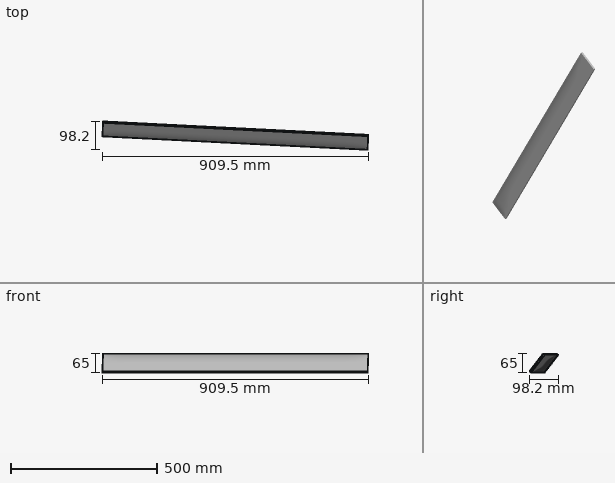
import cadquery as cq
import math

overall_length = 909.5
overall_height = 65.0
thickness = 6.9
lean_angle = 37.6
turn_angle = 2.9

lean = math.radians(lean_angle)
turn = math.radians(turn_angle)

width = (overall_height - thickness * math.sin(lean)) / math.cos(lean)

depth = width * math.sin(lean) + thickness * math.cos(lean)
length = (overall_length - depth * math.sin(turn)) / math.cos(turn)

result = (
    cq.Workplane("XY")
    .box(length, thickness, width)
    .rotate((0, 0, 0), (1, 0, 0), -lean_angle)
    .rotate((0, 0, 0), (0, 0, 1), -turn_angle)
)